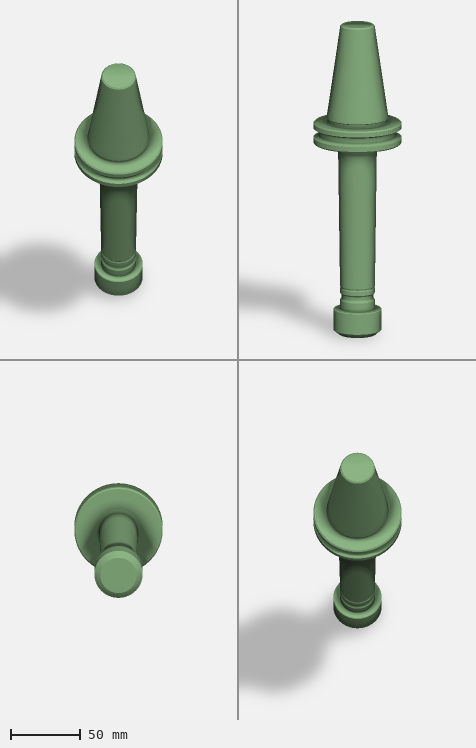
import cadquery as cq

total_height = 228.5

taper_ratio = 7 / 24
gauge_height = 159.9
gauge_radius = 22.27
taper_tip_chamfer = 1.0
taper_tip_radius = gauge_radius - (total_height - gauge_height) * taper_ratio / 2

neck_radius = 21.5
neck_step = 0.7
neck_fillet = 1.0

flange_radius = 31.7
flange_top = 156.7
flange_bottom = 141.0
flange_chamfer = 1.0
groove_middle = 149.0
groove_radius = 28.0
groove_mouth_width = 7.0
groove_floor_width = 4.0

shank_top_radius = 14.0
shank_end_radius = 12.5
shank_fillet = 2.7
shank_land_bottom = 136.4
shank_taper_bottom = 35.6

ring_groove_width = 1.8
ring_groove_depth = 0.5
collar_bottom = 30.8
neck_groove_radius = 11.5
neck_groove_chamfer = 1.1
neck_groove_bottom = 25.4
neck_groove_arc_height = 1.4
neck_groove_arc_depth = 0.35
neck_groove_arc_radius = 3.0

nut_radius = 17.4
nut_height = 19.0
nut_top_chamfer = 0.5
nut_face_radius = 13.0
nut_face_chamfer_height = 3.5


def nut_profile(outline):
    """Chamfered nut, from the axis outwards and up to the collar."""
    return (
        outline.lineTo(nut_face_radius, 0)
        .lineTo(nut_radius, nut_face_chamfer_height)
        .lineTo(nut_radius, nut_height - nut_top_chamfer)
        .lineTo(nut_radius - nut_top_chamfer, nut_height)
        .lineTo(shank_end_radius, nut_height)
    )


def collar_profile(outline):
    """Collar with a relief groove and a shallow ring groove above it."""
    ring_groove_bottom = shank_taper_bottom - ring_groove_width
    arc_bottom = neck_groove_bottom + neck_groove_chamfer
    ring_groove_middle = shank_taper_bottom - ring_groove_width / 2
    return (
        outline.lineTo(shank_end_radius, neck_groove_bottom)
        .lineTo(neck_groove_radius + neck_groove_arc_depth, arc_bottom)
        .radiusArc((neck_groove_radius, arc_bottom + neck_groove_arc_height), neck_groove_arc_radius)
        .lineTo(neck_groove_radius, collar_bottom - neck_groove_chamfer)
        .lineTo(shank_end_radius, collar_bottom)
        .lineTo(shank_end_radius, ring_groove_bottom)
        .lineTo(shank_end_radius - ring_groove_depth, ring_groove_middle)
        .lineTo(shank_end_radius, shank_taper_bottom)
    )


def shank_profile(outline):
    """Tapered shank with a short cylindrical land and a fillet to the flange."""
    return (
        outline.lineTo(shank_top_radius, shank_land_bottom)
        .lineTo(shank_top_radius, flange_bottom - shank_fillet)
        .radiusArc((shank_top_radius + shank_fillet, flange_bottom), shank_fillet)
    )


def flange_profile(outline):
    """Flange with chamfered rims and a V-sided gripper groove."""
    rim_radius = flange_radius - flange_chamfer
    return (
        outline.lineTo(rim_radius, flange_bottom)
        .lineTo(flange_radius, flange_bottom + flange_chamfer)
        .lineTo(flange_radius, groove_middle - groove_mouth_width / 2)
        .lineTo(groove_radius, groove_middle - groove_floor_width / 2)
        .lineTo(groove_radius, groove_middle + groove_floor_width / 2)
        .lineTo(flange_radius, groove_middle + groove_mouth_width / 2)
        .lineTo(flange_radius, flange_top - flange_chamfer)
        .lineTo(rim_radius, flange_top)
        .lineTo(neck_radius + neck_fillet, flange_top)
    )


def taper_profile(outline):
    """Relief neck and steep taper, up to the axis at the tip."""
    return (
        outline.radiusArc((neck_radius, flange_top + neck_fillet), neck_fillet)
        .lineTo(neck_radius, gauge_height - neck_step)
        .lineTo(gauge_radius, gauge_height)
        .lineTo(taper_tip_radius + taper_tip_chamfer * taper_ratio / 2, total_height - taper_tip_chamfer)
        .lineTo(taper_tip_radius - taper_tip_chamfer, total_height)
        .lineTo(0, total_height)
    )


profile = cq.Workplane("XZ").moveTo(0, 0)
for add_section in (nut_profile, collar_profile, shank_profile, flange_profile, taper_profile):
    profile = add_section(profile)

result = profile.close().revolve(360, (0, 0, 0), (0, 1, 0))